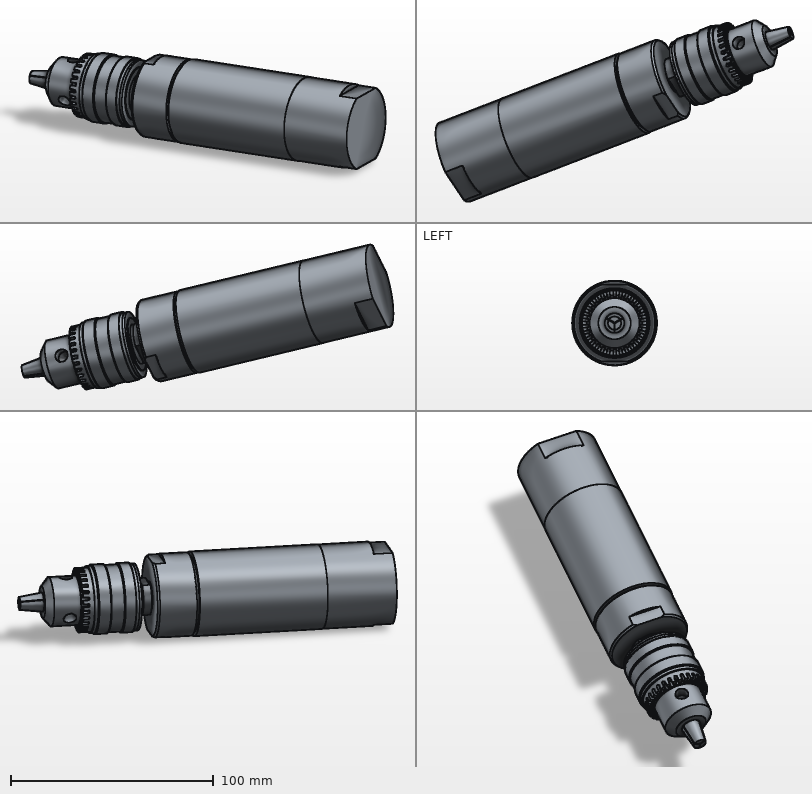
import cadquery as cq
import math


jaw_end = 11.5
nose_end = 15.2
gear_start = 28.6
gear_rim = 29.2
gear_end = 34.8
front_band_start = 36.5
front_band_end = 43.3
rear_band_start = 49.7
rear_band_end = 55.6
end_ring_start = 57.3
sleeve_end = 58.5
back_plate_end = 59.1
nut_start = 60.6
nut_end = 64.7
collar_start = 65.6
groove_start = 85.4
groove_end = 86.8
rear_start = 151.2
total_length = 186.0

jaw_tip_diameter = 6.5
jaw_base_diameter = 9.7
nose_diameter = 16.0
chuck_diameter = 24.5
gear_face_diameter = 27.5
gear_diameter = 32.0
sleeve_diameter = 33.5
end_ring_diameter = 33.3
band_diameter = 34.5
back_plate_diameter = 26.8
neck_large_diameter = 20.0
neck_small_diameter = 16.0
nut_diameter = 20.0
spindle_diameter = 14.9
groove_diameter = 37.8
collar_face_diameter = 40.0
collar_diameter = 41.5
body_diameter = 42.0
rear_diameter = 41.8

band_bevel_length = 0.5
collar_chamfer_length = 1.1
jaw_count = 3
jaw_gap = 0.4
key_hole_count = 3
key_hole_diameter = 6.3
key_hole_position = 23.5
key_hole_depth = 6.0
drill_point_angle = 118.0
tooth_count = 30
tooth_gap = 1.5
tooth_gap_end = 32.4
tooth_root_diameter = 26.0
nut_flats = 15.5
collar_flats = 38.0
collar_flat_length = 6.1
rear_flats = 36.5
rear_flat_length = 9.5


def section(start, end, start_diameter, end_diameter=None):
    """Solid of revolution between two stations, straight or conical."""
    start_radius = start_diameter / 2
    end_radius = (end_diameter or start_diameter) / 2
    outline = [(start, 0), (start, start_radius), (end, end_radius), (end, 0)]
    return cq.Workplane("XY").polyline(outline).close().revolve(360, (0, 0, 0), (1, 0, 0))


def around_axis(shape, count, first_angle=0.0):
    """Equally spaced copies of a shape about the X axis."""
    copies = cq.Workplane("XY")
    for index in range(count):
        angle = first_angle + index * 360 / count
        copies.add(shape.rotate((0, 0, 0), (1, 0, 0), angle))
    return copies


def cut_all(target, cutters):
    for cutter in cutters.vals():
        target = target.cut(cq.Workplane(cutter))
    return target


def mill_flats(target, start, length, across):
    """Two parallel flats facing up and down."""
    depth = body_diameter
    for side in (1, -1):
        block = cq.Workplane("XY").box(length, 2 * body_diameter, depth)
        target = target.cut(block.translate((start + length / 2, 0, side * (across + depth) / 2)))
    return target


def make_jaws():
    jaws = section(0, jaw_end, jaw_tip_diameter, jaw_base_diameter)
    gap = cq.Workplane("XY").box(jaw_end, jaw_gap, jaw_base_diameter, centered=(False, True, False))
    return cut_all(jaws, around_axis(gap, jaw_count, 180))


def make_chuck_body():
    body = section(jaw_end, nose_end, nose_diameter, chuck_diameter)
    body = body.union(section(nose_end, gear_start, chuck_diameter))
    radius = key_hole_diameter / 2
    floor = chuck_diameter / 2 - key_hole_depth
    point = floor - radius / math.tan(math.radians(drill_point_angle / 2))
    outline = [(0, point), (radius, floor), (radius, chuck_diameter), (0, chuck_diameter)]
    hole = cq.Workplane("XZ").polyline(outline).close().revolve(360, (0, 0, 0), (0, 1, 0))
    hole = hole.translate((key_hole_position, 0, 0))
    return cut_all(body, around_axis(hole, key_hole_count))


def make_gear():
    gear = section(gear_start, gear_rim, gear_face_diameter)
    gear = gear.union(section(gear_rim, gear_end, gear_diameter))
    round_center = tooth_gap_end - tooth_gap / 2
    gap = (
        cq.Workplane("XY", origin=(0, 0, tooth_root_diameter / 2))
        .moveTo(gear_start, -tooth_gap / 2)
        .lineTo(round_center, -tooth_gap / 2)
        .threePointArc((tooth_gap_end, 0), (round_center, tooth_gap / 2))
        .lineTo(gear_start, tooth_gap / 2)
        .close()
        .extrude(gear_diameter / 2)
    )
    return cut_all(gear, around_axis(gap, tooth_count))


def make_sleeve():
    sleeve = section(gear_end, end_ring_start, sleeve_diameter)
    bands = [(front_band_start, front_band_end, True), (rear_band_start, rear_band_end, False)]
    for start, end, rear_bevel in bands:
        rim_start = start + band_bevel_length
        rim_end = end - band_bevel_length if rear_bevel else end
        sleeve = sleeve.union(section(start, rim_start, sleeve_diameter, band_diameter))
        sleeve = sleeve.union(section(rim_start, rim_end, band_diameter))
        if rear_bevel:
            sleeve = sleeve.union(section(rim_end, end, band_diameter, sleeve_diameter))
    sleeve = sleeve.union(section(end_ring_start, sleeve_end, end_ring_diameter))
    return sleeve.union(section(sleeve_end, back_plate_end, back_plate_diameter))


def make_spindle():
    neck = section(back_plate_end, nut_start, neck_large_diameter, neck_small_diameter)
    nut = section(nut_start, nut_end, nut_diameter)
    nut = mill_flats(nut, nut_start, nut_end - nut_start, nut_flats)
    return neck.union(nut).union(section(nut_end, collar_start, spindle_diameter))


def make_motor():
    chamfer_end = collar_start + collar_chamfer_length
    collar = section(collar_start, chamfer_end, collar_face_diameter, collar_diameter)
    collar = collar.union(section(chamfer_end, groove_start, collar_diameter))
    collar = mill_flats(collar, collar_start, collar_flat_length, collar_flats)
    motor = collar.union(section(groove_start, groove_end, groove_diameter))
    motor = motor.union(section(groove_end, rear_start, body_diameter))
    motor = motor.union(section(rear_start, total_length, rear_diameter))
    return mill_flats(motor, total_length - rear_flat_length, rear_flat_length, rear_flats)


result = make_jaws()
for piece in (make_chuck_body(), make_gear(), make_sleeve(), make_spindle(), make_motor()):
    result = result.union(piece)